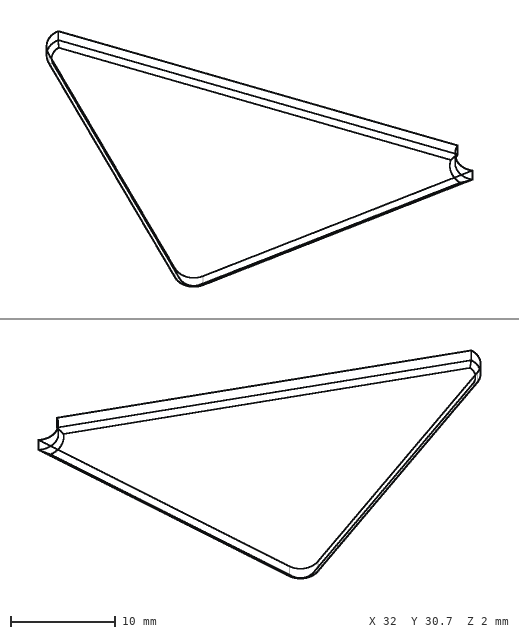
import cadquery as cq
import math

width = 32.0
tip_height = 30.72
thickness = 2.0

corner_radius = 2.0
notch_radius = 2.0
bottom_chamfer = 0.5

notch_left = tip_height - corner_radius
notch_middle = (notch_left + width) / 2
notch_half_width = (width - notch_left) / 2
notch_depth = notch_radius - math.sqrt(notch_radius**2 - notch_half_width**2)

arc_inset = corner_radius * (1 - math.sqrt(0.5))


def triangular_plate():
    """Right-angled plate with two rounded lower corners and a concave notch at its apex."""
    outline = (
        cq.Workplane("XY")
        .moveTo(0, corner_radius)
        .threePointArc((arc_inset, arc_inset), (corner_radius, 0))
        .lineTo(width - corner_radius, 0)
        .threePointArc((width - arc_inset, arc_inset), (width, corner_radius))
        .lineTo(width, tip_height)
        .threePointArc((notch_middle, tip_height - notch_depth), (notch_left, tip_height))
        .close()
    )
    return outline.extrude(thickness)


def chamfer_bottom_rim(plate):
    """Bevel every edge around the bottom face, including the notch."""
    return plate.faces("<Z").edges().chamfer(bottom_chamfer)


result = chamfer_bottom_rim(triangular_plate())